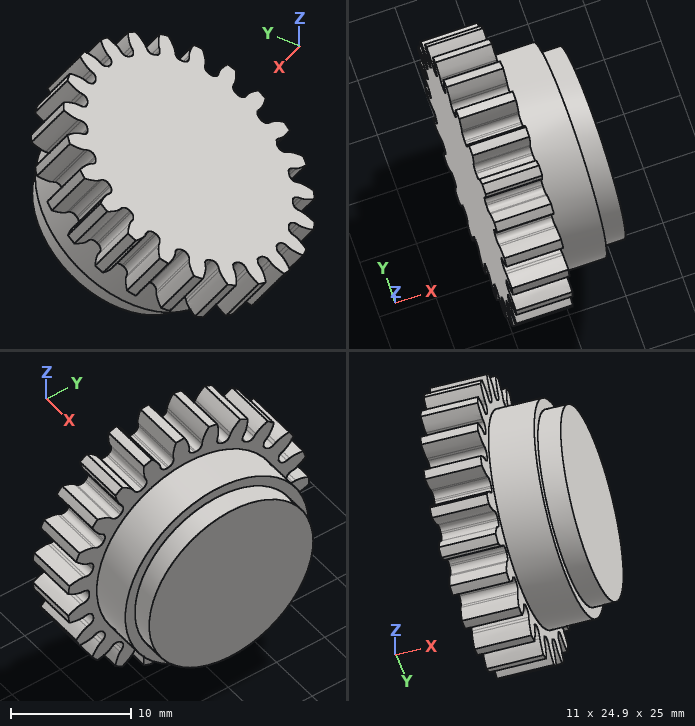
import cadquery as cq
import math


overall_height = 25.0

tooth_count = 23
pressure_angle = math.radians(14.5)
addendum_ratio = 1.0
dedendum_ratio = 1.25
flank_steps = 6

root_fillet_radius = 0.6

gear_width = 5.0
hub_length = 4.0
hub_diameter = 19.0
collar_length = 2.0
collar_diameter = 17.0


def involute(angle):
    return math.tan(angle) - angle


tooth_pitch = 2 * math.pi / tooth_count
base_half_angle = tooth_pitch / 4 + involute(pressure_angle)
base_ratio = tooth_count / 2 * math.cos(pressure_angle)
tip_ratio = tooth_count / 2 + addendum_ratio
tip_pressure_angle = math.acos(base_ratio / tip_ratio)
tip_half_angle = base_half_angle - involute(tip_pressure_angle)

top_corner_angle = tooth_pitch / 4 - tip_half_angle
module = overall_height / (2 * tip_ratio * math.cos(top_corner_angle))

tip_radius = module * tip_ratio
base_radius = module * base_ratio
root_radius = module * (tooth_count / 2 - dedendum_ratio)

fillet_center_radius = root_radius + root_fillet_radius
fillet_half_angle = math.asin(root_fillet_radius / fillet_center_radius)
fillet_center_angle = base_half_angle + fillet_half_angle
flank_start_radius = fillet_center_radius * math.cos(fillet_half_angle)


def polar(radius, angle):
    return (radius * math.cos(angle), radius * math.sin(angle))


def involute_flank(tooth_angle, side):
    """Points from base circle to tip; side is -1 or +1 for the two flanks of a tooth."""
    points = []
    for step in range(flank_steps + 1):
        roll = math.tan(tip_pressure_angle) * step / flank_steps
        local_pressure_angle = math.atan(roll)
        radius = base_radius / math.cos(local_pressure_angle)
        half_angle = base_half_angle - involute(local_pressure_angle)
        points.append(polar(radius, tooth_angle + side * half_angle))
    return points


def fillet_middle(tooth_angle, side):
    """Point halfway along the root fillet beside a tooth."""
    center_angle = tooth_angle + side * fillet_center_angle
    center_y, center_z = polar(fillet_center_radius, center_angle)
    middle_direction = center_angle + math.pi + side * (math.pi / 4 - fillet_half_angle / 2)
    offset_y, offset_z = polar(root_fillet_radius, middle_direction)
    return (center_y + offset_y, center_z + offset_z)


def toothed_outline():
    outline = cq.Workplane("YZ").moveTo(*polar(root_radius, -fillet_center_angle))
    for tooth in range(tooth_count):
        tooth_angle = tooth * tooth_pitch
        rising = involute_flank(tooth_angle, -1)
        falling = involute_flank(tooth_angle, 1)[::-1]
        rising_start = polar(flank_start_radius, tooth_angle - base_half_angle)
        falling_end = polar(flank_start_radius, tooth_angle + base_half_angle)
        root_start = polar(root_radius, tooth_angle + fillet_center_angle)
        root_middle = polar(root_radius, tooth_angle + tooth_pitch / 2)
        root_end = polar(root_radius, tooth_angle + tooth_pitch - fillet_center_angle)
        outline = (
            outline.threePointArc(fillet_middle(tooth_angle, -1), rising_start)
            .lineTo(*rising[0])
            .spline(rising[1:], includeCurrent=True)
            .threePointArc(polar(tip_radius, tooth_angle), falling[0])
            .spline(falling[1:], includeCurrent=True)
            .lineTo(*falling_end)
            .threePointArc(fillet_middle(tooth_angle, 1), root_start)
            .threePointArc(root_middle, root_end)
        )
    return outline.close()


def disc(start, length, diameter):
    return cq.Workplane("YZ", origin=(start, 0, 0)).circle(diameter / 2).extrude(length)


gear = toothed_outline().extrude(gear_width)
hub = disc(gear_width, hub_length, hub_diameter)
collar = disc(gear_width + hub_length, collar_length, collar_diameter)

result = gear.union(hub).union(collar)